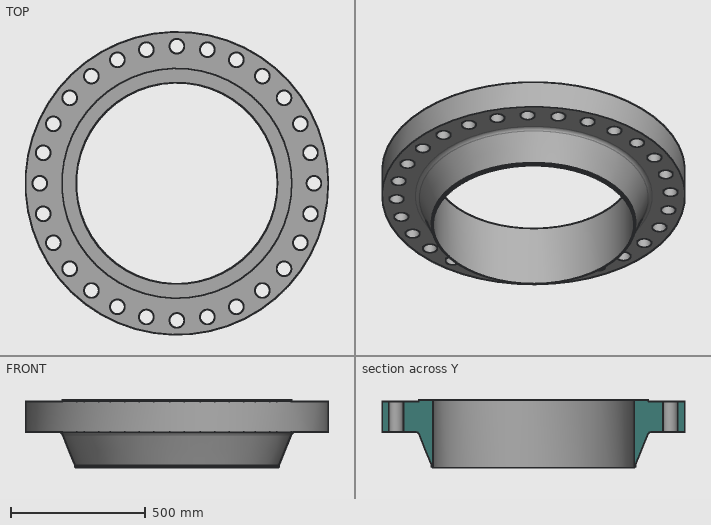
import cadquery as cq
import math

flange_diameter = 1130.3
flange_thickness = 114.3
overall_height = 254.0
raised_face_diameter = 857.25
raised_face_height = 6.35
bore_diameter = 749.3

hub_base_diameter = 862.0
hub_fillet_radius = 16.0
weld_end_diameter = 762.0
weld_end_land_top = 9.9
weld_bevel_height = 3.7
weld_bevel_angle = 37.5

bolt_count = 28
bolt_circle_diameter = 1022.35
bolt_hole_diameter = 53.975

flange_top = overall_height - raised_face_height
flange_bottom = flange_top - flange_thickness
weld_bevel_width = weld_bevel_height / math.tan(math.radians(weld_bevel_angle))


def fillet_points():
    """Start, middle and end (radius, Z) of the arc blending the cone into the flange."""
    hub_base_radius = hub_base_diameter / 2
    taper_run = hub_base_radius - weld_end_diameter / 2
    taper_rise = flange_bottom - weld_end_land_top
    taper_slope = math.atan2(taper_rise, taper_run)
    tangent_length = hub_fillet_radius * math.tan(taper_slope / 2)
    center_radius = hub_base_radius + tangent_length
    center_z = flange_bottom - hub_fillet_radius
    start = (
        hub_base_radius - tangent_length * math.cos(taper_slope),
        flange_bottom - tangent_length * math.sin(taper_slope),
    )
    middle = (
        center_radius - hub_fillet_radius * math.sin(taper_slope / 2),
        center_z + hub_fillet_radius * math.cos(taper_slope / 2),
    )
    end = (center_radius, flange_bottom)
    return start, middle, end


def flange_body():
    """Revolve the half section of the hub, plate and raised face."""
    fillet_start, fillet_middle, fillet_end = fillet_points()
    half_section = (
        cq.Workplane("XZ")
        .moveTo(bore_diameter / 2, 0)
        .lineTo(weld_end_diameter / 2 - weld_bevel_width, 0)
        .lineTo(weld_end_diameter / 2, weld_bevel_height)
        .lineTo(weld_end_diameter / 2, weld_end_land_top)
        .lineTo(*fillet_start)
        .threePointArc(fillet_middle, fillet_end)
        .lineTo(flange_diameter / 2, flange_bottom)
        .lineTo(flange_diameter / 2, flange_top)
        .lineTo(raised_face_diameter / 2, flange_top)
        .lineTo(raised_face_diameter / 2, overall_height)
        .lineTo(bore_diameter / 2, overall_height)
        .close()
    )
    return half_section.revolve(360, (0, 0, 0), (0, 1, 0))


def bolt_holes():
    """Evenly spaced cylinders through the plate, the first one on the +X axis."""
    return (
        cq.Workplane("XY")
        .workplane(offset=flange_bottom)
        .polarArray(bolt_circle_diameter / 2, 0, 360, bolt_count)
        .circle(bolt_hole_diameter / 2)
        .extrude(flange_thickness)
    )


result = flange_body().cut(bolt_holes())